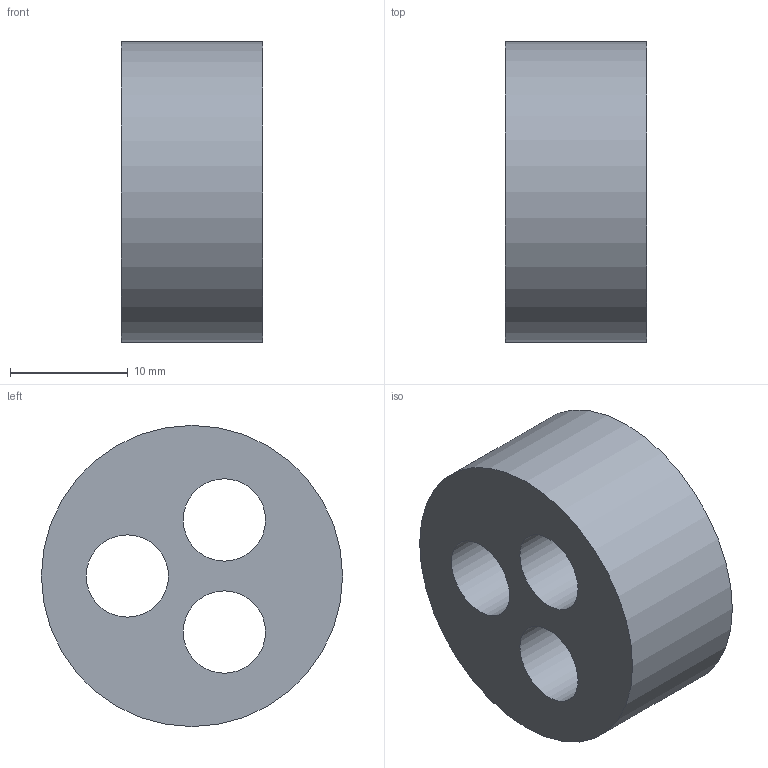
import cadquery as cq

body_diameter = 25.6
body_length = 12.0
hole_diameter = 7.0
hole_count = 3
hole_circle_radius = 5.5
first_hole_angle = 0.0
full_turn = 360.0


def make_body():
    """Solid disc whose axis runs along X, starting at X = 0."""
    return cq.Workplane("YZ").circle(body_diameter / 2).extrude(body_length)


def make_holes():
    """Evenly spaced cylinders that pass through the whole disc."""
    return (
        cq.Workplane("YZ")
        .polarArray(hole_circle_radius, first_hole_angle, full_turn, hole_count)
        .circle(hole_diameter / 2)
        .extrude(body_length)
    )


result = make_body().cut(make_holes())